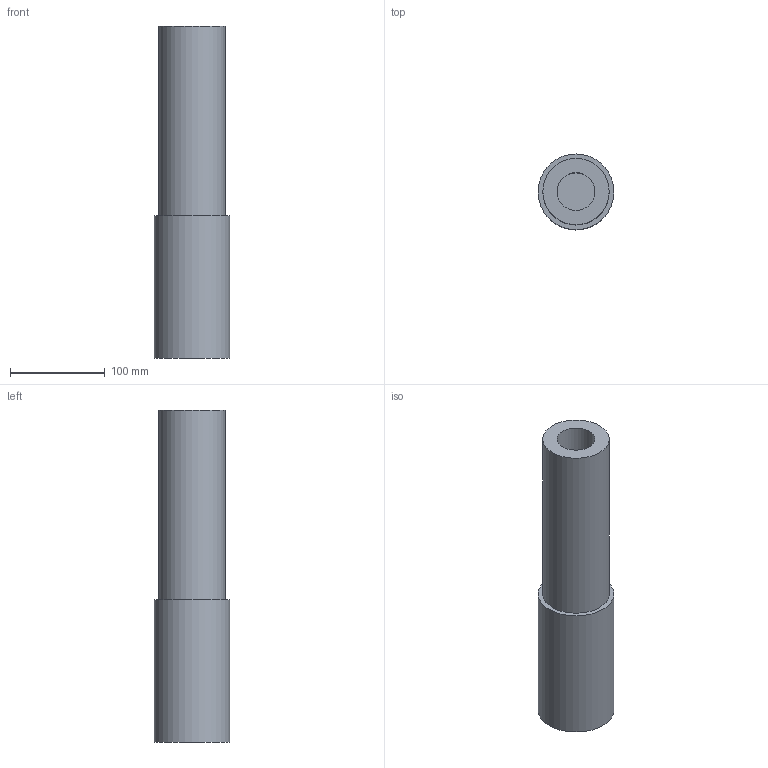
import cadquery as cq

base_diameter = 80.0
base_height = 150.0
neck_diameter = 70.0
neck_height = 200.0
bore_diameter = 40.0
bore_depth = neck_height


def stepped_body():
    """Wide cylindrical base with a narrower coaxial neck on top."""
    base = cq.Workplane("XY").circle(base_diameter / 2).extrude(base_height)
    return base.faces(">Z").workplane().circle(neck_diameter / 2).extrude(neck_height)


def cut_bore(body):
    """Flat-bottomed axial bore, open at the top of the neck."""
    return body.faces(">Z").workplane().hole(bore_diameter, bore_depth)


result = cut_bore(stepped_body())